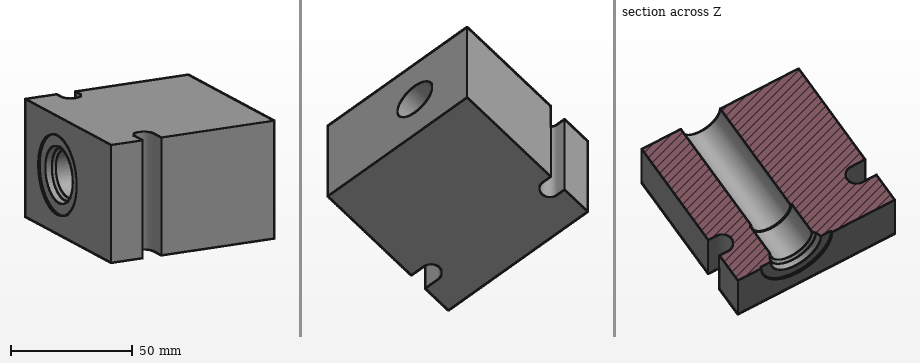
import cadquery as cq

width = 76.2
depth = 76.2
height = 50.8
front_y = -depth / 2

slot_width = 8.7
slot_from_front = 19.05
left_slot_depth = 8.5
right_slot_depth = 11.4

port_x = -9.5
spotface_diameter = 34.1
spotface_depth = 0.8
cone_mouth_diameter = 24.3
cone_depth = 2.5
cone_end_diameter = 22.4
shoulder_depth = 4.6
neck_diameter = 20.2
through_diameter = 19.0
neck_end_depth = 20.6


def side_slot(side, slot_depth):
    """Slot open on the side face at side * width / 2, where side is -1 or 1."""
    radius = slot_width / 2
    mouth_x = side * width / 2
    end_x = mouth_x - side * slot_depth
    straight_x = end_x + side * radius
    centre_y = front_y + slot_from_front
    return (
        cq.Workplane("XY", origin=(0, 0, -height / 2))
        .moveTo(mouth_x, centre_y - radius)
        .lineTo(straight_x, centre_y - radius)
        .threePointArc((end_x, centre_y), (straight_x, centre_y + radius))
        .lineTo(mouth_x, centre_y + radius)
        .close()
        .extrude(height)
    )


def port():
    """Revolved port cavity, running along Y from the front face to the back face."""
    cone_start_y = front_y + spotface_depth
    cone_end_y = cone_start_y + cone_depth
    profile = [
        (0, front_y),
        (spotface_diameter / 2, front_y),
        (spotface_diameter / 2, cone_start_y),
        (cone_mouth_diameter / 2, cone_start_y),
        (cone_end_diameter / 2, cone_end_y),
        (neck_diameter / 2, front_y + shoulder_depth),
        (neck_diameter / 2, front_y + neck_end_depth),
        (through_diameter / 2, front_y + neck_end_depth),
        (through_diameter / 2, depth / 2),
        (0, depth / 2),
    ]
    cavity = cq.Workplane("XY").polyline(profile).close().revolve(360, (0, 0), (0, 1))
    return cavity.translate((port_x, 0, 0))


result = (
    cq.Workplane("XY")
    .box(width, depth, height)
    .cut(side_slot(-1, left_slot_depth))
    .cut(side_slot(1, right_slot_depth))
    .cut(port())
)